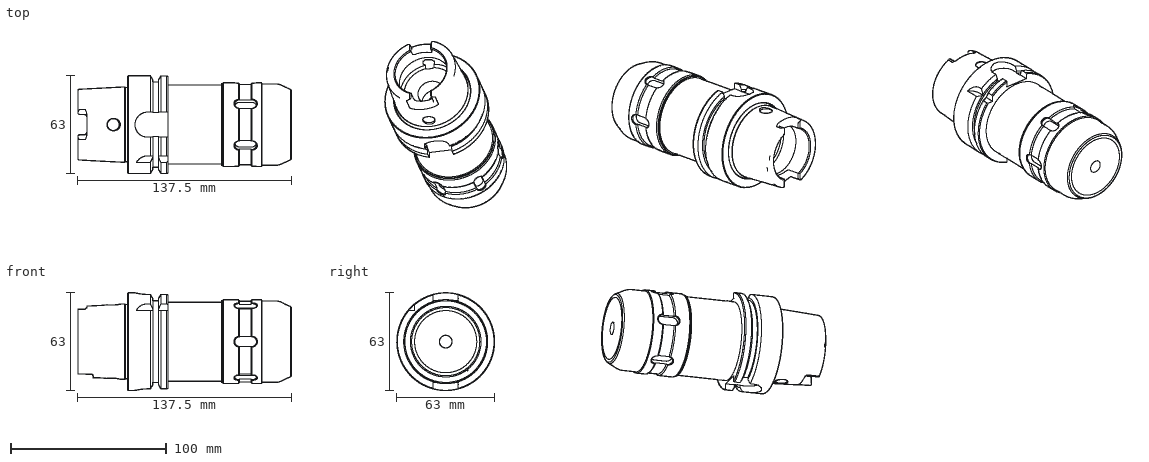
import cadquery as cq
import math

total_length = 137.5

shank_length = 32.0
shank_tip_radius = 22.8
shank_base_radius = 24.3
shank_taper_end = 30.0
shank_tip_round = 1.0
relief_radius = 23.9
relief_start = 30.7
relief_depth = 0.5
relief_round = 1.2
relief_chamfer = 0.4

bore_radius = 34.0 / 2
bore_mouth_chamfer = 0.7
bore_depth = 28.2
bore_floor_round = 1.2
clamping_lip_x = 12.4
clamping_groove_radius = 39.0 / 2
clamping_groove_end = 25.5
thread_hole_diameter = 16.9
thread_hole_depth = 11.0
coolant_hole_diameter = 8.0
cross_hole_diameter = 7.5
cross_hole_x = 22.8
cross_hole_chamfer = 0.5

key_slot_half_width = 6.5
key_slot_lip_radius = 2.2
key_slot_mouth_chamfer = 0.8
key_slot_floor_fillet = 1.6
upper_key_slot_depth = 5.8
lower_key_slot_depth = 9.9

flange_radius = 31.5
flange_end = 58.0
flange_front_chamfer = 0.4
flange_rear_chamfer = 0.8
flange_rear_chamfer_drop = 0.4
gripper_groove_radius = 27.5
gripper_groove_center = 50.0
gripper_groove_foot_radius = 28.9
gripper_groove_floor_width = 3.6
gripper_groove_top_width = 6.7
flange_slot_width = 16.1
flange_slot_floor = 26.4
cutter_radius = flange_slot_width / 2
cutter_center_x = 44.8
notch_offset = 20.1

neck_diameter = 51.0
nose_diameter = 40.0

nut_start = 92.3
nut_radius = 54.0 / 2
nut_rim_radius = 26.4
nut_rim_end = 93.0
nut_rim_chamfer = 0.8
nut_collar_end = 118.1
nut_collar_chamfer = 0.4
nut_front_radius = 26.3
nut_cone_angle = math.radians(25)
nut_round_start = 127.2
nut_round_radius = 8.8
nut_tip_start = 136.7
nut_tip_chamfer = total_length - nut_tip_start
nut_groove_center = 107.7
nut_groove_width = 8.8
nut_groove_chamfer = 0.8
nut_groove_floor_radius = 26.1

spanner_slot_count = 6
spanner_slot_center = 108.0
spanner_slot_length = 14.0
spanner_slot_width = 6.3
spanner_slot_floor = 23.2
spanner_slot_chamfer = 0.5


def revolve_about_x(outline):
    """Turn a closed (x, radius) outline about the X axis."""
    return outline.close().revolve(360, (0, 0, 0), (1, 0, 0))


def turned_holder():
    """Outside of the holder, from the shank tip to the end of the nose."""
    groove_half_floor = gripper_groove_floor_width / 2
    groove_half_top = gripper_groove_top_width / 2
    tip_round_x = shank_tip_round * (1 - math.sqrt(0.5))
    tip_round_radius = shank_tip_radius - tip_round_x
    relief_end = shank_length + relief_depth
    relief_round_x = relief_end - relief_round
    relief_top = relief_radius + relief_round
    round_offset = relief_round * math.sqrt(0.5)
    flange_points = [
        (shank_length, relief_top + relief_chamfer),
        (shank_length, flange_radius - flange_front_chamfer),
        (shank_length + flange_front_chamfer, flange_radius),
        (gripper_groove_center - groove_half_top, flange_radius),
        (gripper_groove_center - groove_half_floor, gripper_groove_foot_radius),
        (gripper_groove_center - groove_half_floor, gripper_groove_radius),
        (gripper_groove_center + groove_half_floor, gripper_groove_radius),
        (gripper_groove_center + groove_half_floor, gripper_groove_foot_radius),
        (gripper_groove_center + groove_half_top, flange_radius),
        (flange_end - flange_rear_chamfer, flange_radius),
        (flange_end, flange_radius - flange_rear_chamfer_drop),
        (flange_end, neck_diameter / 2),
        (nut_start, neck_diameter / 2),
        (nut_start, nose_diameter / 2),
        (total_length, nose_diameter / 2),
        (total_length, 0),
    ]
    outline = (
        cq.Workplane("XY")
        .lineTo(0, shank_tip_radius - shank_tip_round)
        .threePointArc((tip_round_x, tip_round_radius), (shank_tip_round, shank_tip_radius))
        .lineTo(shank_taper_end, shank_base_radius)
        .lineTo(relief_start, relief_radius)
        .lineTo(relief_round_x, relief_radius)
        .threePointArc((relief_round_x + round_offset, relief_top - round_offset), (relief_end, relief_top))
    )
    for point in flange_points:
        outline = outline.lineTo(*point)
    return revolve_about_x(outline)


def shank_bore():
    """Bore with a clamping groove and rounded floor, a thread hole behind it and the coolant hole through."""
    round_start = bore_depth - bore_floor_round
    round_offset = bore_floor_round * math.sqrt(0.5)
    bore = revolve_about_x(
        cq.Workplane("XY")
        .lineTo(0, bore_radius + bore_mouth_chamfer)
        .lineTo(bore_mouth_chamfer, bore_radius)
        .lineTo(clamping_lip_x, bore_radius)
        .lineTo(clamping_lip_x, clamping_groove_radius)
        .lineTo(clamping_groove_end, clamping_groove_radius)
        .lineTo(clamping_groove_end, bore_radius)
        .lineTo(round_start, bore_radius)
        .threePointArc(
            (round_start + round_offset, bore_radius - bore_floor_round + round_offset),
            (bore_depth, bore_radius - bore_floor_round),
        )
        .lineTo(bore_depth, 0)
    )
    thread_hole = (
        cq.Workplane("YZ", origin=(bore_depth, 0, 0))
        .circle(thread_hole_diameter / 2)
        .extrude(thread_hole_depth)
    )
    coolant_hole = cq.Workplane("YZ").circle(coolant_hole_diameter / 2).extrude(total_length)
    return bore.union(thread_hole).union(coolant_hole)


def cross_hole():
    """Vertical hole through both shank walls, countersunk where it meets the outside."""
    radius = cross_hole_diameter / 2
    surface = shank_tip_radius + (shank_base_radius - shank_tip_radius) * cross_hole_x / shank_taper_end
    hole = cq.Workplane("XY").circle(radius).extrude(flange_radius, both=True)
    sink_depth = 2 * cross_hole_chamfer
    sink_height = surface - cross_hole_chamfer
    countersink = (
        cq.Workplane("XZ")
        .moveTo(0, sink_height)
        .lineTo(radius, sink_height)
        .lineTo(radius + sink_depth, sink_height + sink_depth)
        .lineTo(0, sink_height + sink_depth)
        .close()
        .revolve(360, (0, 0, 0), (0, 1, 0))
    )
    opposite = countersink.mirror("XY")
    return hole.union(countersink).union(opposite).translate((cross_hole_x, 0, 0))


def key_slot(depth):
    """Slot open to the shank tip at +Z; its side walls round outwards into the shank surface."""
    lip_center_y = key_slot_half_width + key_slot_lip_radius
    lip_center_distance = shank_tip_radius - key_slot_lip_radius
    lip_center_z = math.sqrt(lip_center_distance**2 - lip_center_y**2)
    outward_y = lip_center_y / lip_center_distance
    outward_z = lip_center_z / lip_center_distance
    end_y = shank_tip_radius * outward_y
    end_z = shank_tip_radius * outward_z
    mid_angle = (math.pi + math.atan2(outward_z, outward_y)) / 2
    mid_y = lip_center_y + key_slot_lip_radius * math.cos(mid_angle)
    mid_z = lip_center_z + key_slot_lip_radius * math.sin(mid_angle)
    slot = (
        cq.Workplane("YZ")
        .moveTo(-key_slot_half_width, 0)
        .lineTo(key_slot_half_width, 0)
        .lineTo(key_slot_half_width, lip_center_z)
        .threePointArc((mid_y, mid_z), (end_y, end_z))
        .lineTo(end_y, flange_radius)
        .lineTo(-end_y, flange_radius)
        .lineTo(-end_y, end_z)
        .threePointArc((-mid_y, mid_z), (-key_slot_half_width, lip_center_z))
        .close()
        .extrude(depth)
    )
    margin = key_slot_floor_fillet / 10
    side_edges = cq.selectors.BoxSelector(
        (depth - margin, -end_y - margin, margin),
        (depth + margin, end_y + margin, end_z),
    )
    mouth_half_width = key_slot_half_width + key_slot_mouth_chamfer
    mouth = (
        cq.Workplane("XY")
        .moveTo(0, -mouth_half_width)
        .lineTo(0, mouth_half_width)
        .lineTo(key_slot_mouth_chamfer, key_slot_half_width)
        .lineTo(key_slot_mouth_chamfer, -key_slot_half_width)
        .close()
        .extrude(end_z)
    )
    return slot.edges(side_edges).fillet(key_slot_floor_fillet).union(mouth)


def flange_slot():
    """Round-ended slot in the +Z side of the flange, open towards the neck."""
    height = flange_radius
    run_out = flange_end - cutter_center_x
    base = cq.Workplane("XY", origin=(cutter_center_x, 0, flange_slot_floor))
    round_end = base.circle(cutter_radius).extrude(height)
    straight = base.rect(run_out, flange_slot_width).extrude(height).translate((run_out / 2, 0, 0))
    return round_end.union(straight)


def orientation_notch():
    """Corner notch at -Y +Z, milled with the same cutter as the flange slots."""
    return flange_slot().translate((0, -notch_offset - cutter_radius, notch_offset - flange_slot_floor))


def build_holder():
    holder = turned_holder().cut(shank_bore()).cut(cross_hole())
    holder = holder.cut(key_slot(upper_key_slot_depth))
    holder = holder.cut(key_slot(lower_key_slot_depth).mirror("XY"))
    holder = holder.cut(flange_slot()).cut(flange_slot().mirror("XY"))
    return holder.cut(orientation_notch())


def turned_nut():
    """Ring on the nose with a rim, a grooved collar and a rounded, coned front end."""
    groove_start = nut_groove_center - nut_groove_width / 2
    groove_end = nut_groove_center + nut_groove_width / 2
    round_end = nut_round_start + nut_round_radius * math.sin(nut_cone_angle)
    round_end_radius = nut_front_radius - nut_round_radius * (1 - math.cos(nut_cone_angle))
    round_mid = nut_round_start + nut_round_radius * math.sin(nut_cone_angle / 2)
    round_mid_radius = nut_front_radius - nut_round_radius * (1 - math.cos(nut_cone_angle / 2))
    tip_radius = round_end_radius - (nut_tip_start - round_end) * math.tan(nut_cone_angle)
    outline = (
        cq.Workplane("XY")
        .moveTo(nut_start, nose_diameter / 2)
        .lineTo(nut_start, nut_rim_radius)
        .lineTo(nut_rim_end, nut_rim_radius)
        .lineTo(nut_rim_end + nut_rim_chamfer, nut_radius)
        .lineTo(groove_start, nut_radius)
        .lineTo(groove_start + nut_groove_chamfer, nut_groove_floor_radius)
        .lineTo(groove_end - nut_groove_chamfer, nut_groove_floor_radius)
        .lineTo(groove_end, nut_radius)
        .lineTo(nut_collar_end, nut_radius)
        .lineTo(nut_collar_end + nut_collar_chamfer, nut_front_radius)
        .lineTo(nut_round_start, nut_front_radius)
        .threePointArc((round_mid, round_mid_radius), (round_end, round_end_radius))
        .lineTo(nut_tip_start, tip_radius)
        .lineTo(total_length, tip_radius - nut_tip_chamfer)
        .lineTo(total_length, nose_diameter / 2)
    )
    return revolve_about_x(outline)


def spanner_slot():
    """Round-ended pocket in the -Y side of the nut with a chamfered mouth."""
    pocket_top = nut_radius - spanner_slot_chamfer
    pocket = (
        cq.Workplane("XZ", origin=(spanner_slot_center, -spanner_slot_floor, 0))
        .slot2D(spanner_slot_length, spanner_slot_width)
        .extrude(flange_radius - spanner_slot_floor)
    )
    mouth = (
        cq.Workplane("XZ", origin=(spanner_slot_center, -pocket_top, 0))
        .slot2D(spanner_slot_length, spanner_slot_width)
        .extrude(2 * spanner_slot_chamfer, taper=-45)
    )
    return pocket.union(mouth)


def build_nut():
    nut = turned_nut()
    for index in range(spanner_slot_count):
        angle = index * 360 / spanner_slot_count
        nut = nut.cut(spanner_slot().rotate((0, 0, 0), (1, 0, 0), angle))
    return nut


holder = build_holder()
nut = build_nut()

result = cq.Compound.makeCompound([holder.val(), nut.val()])